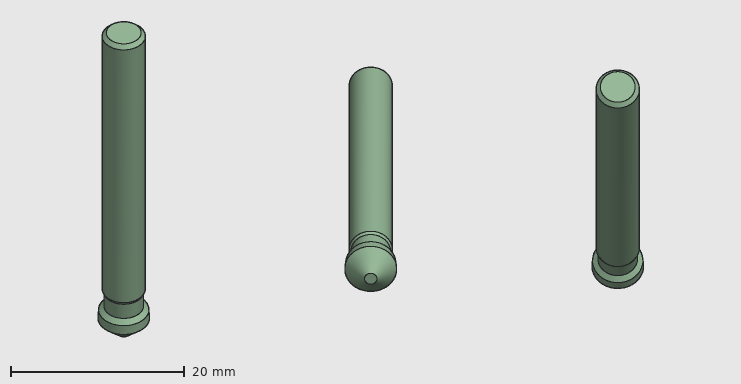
import cadquery as cq

length = 45.0
shank_diameter = 5.0
shank_chamfer = 0.5
neck_diameter = 4.6
head_diameter = 6.0
head_top_diameter = 5.8
tip_diameter = 1.45

cone_height = (head_diameter - tip_diameter) / 2
head_top = 3.5
neck_bottom = 4.1
neck_top = 6.2
shank_bottom = 6.6

profile = [
    (0, 0),
    (tip_diameter / 2, 0),
    (head_diameter / 2, cone_height),
    (head_top_diameter / 2, head_top),
    (neck_diameter / 2, neck_bottom),
    (neck_diameter / 2, neck_top),
    (shank_diameter / 2, shank_bottom),
    (shank_diameter / 2, length - shank_chamfer),
    (shank_diameter / 2 - shank_chamfer, length),
    (0, length),
]

result = cq.Workplane("XZ").polyline(profile).close().revolve(360, (0, 0, 0), (0, 1, 0))